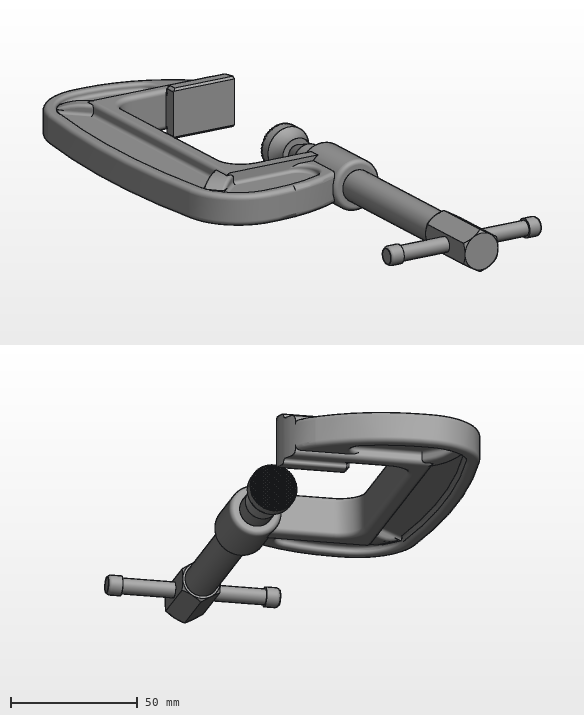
import cadquery as cq
import math


frame_length = 148.3
center_x = frame_length / 2
side_start_y = -42.9
side_end_y = -39.0
corner_radius = 25.0
bottom_rise = 3.7
leg_arc_radius = 67.5
leg_arc_end_y = 0.9
jaw_face_x = 31.8
jaw_tip_y = 12.4
jaw_bottom_y = -16.0
right_leg_top_y = -3.0

throat_left_x = 26.3
throat_right_x = 117.5
throat_bottom_y = -41.8
throat_radius = 10.0

rim_half = 6.4
rail_half = 8.4
jaw_half = 10.5
floor_half = 3.3
outer_round = 2.0

rail_left_x = 19.9
rail_bottom_y = -48.8
rail_right_x = 124.0
rail_round = 2.0

rim_width = 5.3
pocket_floor_round = 1.5
pocket_rim_round = 1.4
left_arch_radius = 5.5
right_arch_radius = 7.7

rib_top = 7.5
rib_end_drop = 3.4
rib_reach = 13.0
rib_root = 4.0
rib_round = 1.35
left_rib_width = 7.0
left_rib_angle = 225
right_rib_start_x = 121.0
right_rib_width = 8.9
right_rib_angle = 312

jaw_side_x = 27.0
jaw_end_chamfer = 1.2
jaw_face_chamfer = 0.9

collar_start_x = 116.0
collar_end_x = 143.4
collar_radius = 10.5
collar_round = 1.8

foot_back_x = 98.5
tip_radius = 4.0
taper_end_x = 106.5
screw_radius = 6.7
hex_length = 29.5
screw_end_x = 236.17
hex_flats = 15.3
hex_start_x = screw_end_x - hex_length

handle_x = screw_end_x - hex_length / 2
handle_length = 70.0
handle_radius = 3.2
cap_length = 5.8
cap_radius = 4.0
cap_round = 1.6

foot_face_x = 86.8
foot_rim_length = 5.2
foot_radius = 9.5
foot_neck_radius = 6.7
knurl_pitch = 1.1
knurl_depth = 0.5


def arc_point(center, radius, degrees):
    angle = math.radians(degrees)
    return (center[0] + radius * math.cos(angle), center[1] + radius * math.sin(angle))


corner_center = (corner_radius, side_start_y)
bottom_center_gap = ((center_x - corner_radius) ** 2 + bottom_rise ** 2) / (2 * bottom_rise)
bottom_half_angle = math.degrees(math.asin((center_x - corner_radius) / bottom_center_gap))
bottom_y = side_start_y - corner_radius - bottom_rise


def leg_point(inset, y):
    """Point at height y on the left leg's outer arc, moved inward by inset."""
    radius = leg_arc_radius - inset
    return (leg_arc_radius - math.sqrt(radius ** 2 - (y - side_end_y) ** 2), y)


def mirrored(point):
    return (frame_length - point[0], point[1])


def outer_path(path, inset, left_y, right_y):
    """Continue a path from the left leg round the bottom to the right leg."""
    radius = corner_radius - inset
    corner_end = arc_point(corner_center, radius, 270 - bottom_half_angle)
    corner_middle = arc_point(corner_center, radius, 225 - bottom_half_angle / 2)
    left_side = (inset, side_end_y)
    corner_start = (inset, side_start_y)
    left_middle = leg_point(inset, (left_y + side_end_y) / 2)
    right_middle = mirrored(leg_point(inset, (right_y + side_end_y) / 2))
    return (
        path.threePointArc(left_middle, left_side)
        .lineTo(*corner_start)
        .threePointArc(corner_middle, corner_end)
        .threePointArc((center_x, bottom_y + inset), mirrored(corner_end))
        .threePointArc(mirrored(corner_middle), mirrored(corner_start))
        .lineTo(*mirrored(left_side))
        .threePointArc(right_middle, mirrored(leg_point(inset, right_y)))
    )


def frame_blank(half_thickness):
    """Full C outline, extruded to both sides of Z = 0."""
    arc_end = leg_point(0, leg_arc_end_y)
    tangent = (leg_arc_end_y - side_end_y, leg_arc_radius - arc_end[0])
    tip = (jaw_face_x, jaw_tip_y)
    normal = (tangent[1] / leg_arc_radius, -tangent[0] / leg_arc_radius)
    chord = (tip[0] - arc_end[0], tip[1] - arc_end[1])
    tip_radius_out = (chord[0] ** 2 + chord[1] ** 2) / (2 * (chord[0] * normal[0] + chord[1] * normal[1]))
    tip_center = (arc_end[0] + tip_radius_out * normal[0], arc_end[1] + tip_radius_out * normal[1])
    middle = (arc_end[0] + chord[0] / 2 - tip_center[0], arc_end[1] + chord[1] / 2 - tip_center[1])
    stretch = tip_radius_out / math.hypot(*middle)
    tip_middle = (tip_center[0] + stretch * middle[0], tip_center[1] + stretch * middle[1])

    path = cq.Workplane("XY", origin=(0, 0, -half_thickness)).moveTo(*tip)
    path = outer_path(path.threePointArc(tip_middle, arc_end), 0, leg_arc_end_y, right_leg_top_y)
    diagonal = throat_radius * (1 - math.sqrt(0.5))
    return (
        path.lineTo(throat_right_x, right_leg_top_y)
        .lineTo(throat_right_x, throat_bottom_y + throat_radius)
        .threePointArc(
            (throat_right_x - diagonal, throat_bottom_y + diagonal),
            (throat_right_x - throat_radius, throat_bottom_y),
        )
        .lineTo(throat_left_x + throat_radius, throat_bottom_y)
        .threePointArc(
            (throat_left_x + diagonal, throat_bottom_y + diagonal),
            (throat_left_x, throat_bottom_y + throat_radius),
        )
        .lineTo(throat_left_x, jaw_bottom_y)
        .lineTo(jaw_face_x, jaw_bottom_y)
        .close()
        .extrude(2 * half_thickness)
    )


def pocket_arch(rail_x, radius):
    """Arch at the top of a left leg pocket: where it leaves the rim, its top, and where it meets the rail.

    The arch is tangent to the rail and to the rim.
    """
    rim_radius = leg_arc_radius - rim_width
    arch_x = rail_x - radius
    arch_y = side_end_y + math.sqrt((rim_radius - radius) ** 2 - (leg_arc_radius - arch_x) ** 2)
    stretch = rim_radius / (rim_radius - radius)
    rim_end = (
        leg_arc_radius + stretch * (arch_x - leg_arc_radius),
        side_end_y + stretch * (arch_y - side_end_y),
    )
    return rim_end, (arch_x, arch_y + radius), (rail_x, arch_y)


def pocket_tool():
    """Upper pocket volume, from the floor up."""
    left_rim, left_top, left_rail = pocket_arch(rail_left_x, left_arch_radius)
    right_arch = pocket_arch(frame_length - rail_right_x, right_arch_radius)
    right_rim, right_top, right_rail = [mirrored(point) for point in right_arch]
    path = cq.Workplane("XY", origin=(0, 0, floor_half)).moveTo(*left_rim)
    return (
        outer_path(path, rim_width, left_rim[1], right_rim[1])
        .threePointArc(right_top, right_rail)
        .lineTo(rail_right_x, rail_bottom_y)
        .lineTo(rail_left_x, rail_bottom_y)
        .lineTo(*left_rail)
        .threePointArc(left_top, left_rim)
        .close()
        .extrude(jaw_half)
        .faces("<Z")
        .edges()
        .fillet(pocket_floor_round)
    )


def rim_plate():
    plate = frame_blank(rim_half).faces("|Z").edges("<Y").fillet(outer_round)
    tool = pocket_tool()
    plate = plate.cut(tool).cut(tool.mirror("XY"))
    for side in (">Z", "<Z"):
        mouth = plate.faces(side).val().innerWires()[0]
        plate = plate.newObject(mouth.Edges()).fillet(pocket_rim_round)
    return plate


def rail():
    """Thick band around the throat."""
    blank = frame_blank(rail_half)
    blank = blank.edges(
        cq.selectors.BoxSelector(
            (throat_left_x - 1, throat_bottom_y - 1, -jaw_half),
            (throat_right_x + 1, right_leg_top_y - 1, jaw_half),
        )
    ).edges("#Z").fillet(outer_round)
    band = cq.Workplane("XY").box(
        rail_right_x - rail_left_x, jaw_tip_y - rail_bottom_y, 2 * rail_half, centered=(False, False, True)
    ).translate((rail_left_x, rail_bottom_y, 0))
    band = band.edges("(<X or <Y) and #Z").fillet(rail_round)
    return blank.intersect(band)


def jaw():
    """Pad block at the fixed jaw, flaring out of the rail on both sides."""
    height = jaw_tip_y - jaw_bottom_y
    pad = (
        cq.Workplane("XY")
        .box(jaw_face_x - jaw_side_x, height, jaw_half, centered=False)
        .translate((jaw_side_x, jaw_bottom_y, 0))
    )
    pad = pad.faces(">Z").edges("<Y").chamfer(jaw_end_chamfer)
    pad = pad.faces(">Z").edges(">X").chamfer(jaw_face_chamfer)
    flare_radius = (jaw_half - rail_half) / 2
    flare_x = jaw_side_x - 2 * flare_radius
    flare = (
        cq.Workplane("XZ", origin=(0, jaw_tip_y, 0))
        .moveTo(flare_x, 0)
        .lineTo(flare_x, rail_half)
        .radiusArc((jaw_side_x - flare_radius, rail_half + flare_radius), -flare_radius)
        .radiusArc((jaw_side_x, jaw_half), flare_radius)
        .lineTo(jaw_side_x, 0)
        .close()
        .extrude(height - jaw_end_chamfer)
    )
    half = pad.union(flare)
    return half.union(half.mirror("XY")).intersect(frame_blank(jaw_half))


def corner_rib(start_x, width, angle):
    """Upper rib from a rail corner across the pocket, its top curving down to the rim."""
    top_radius = (rib_reach ** 2 + rib_end_drop ** 2) / (2 * rib_end_drop)
    ridge = (
        cq.Workplane("XZ")
        .moveTo(-rib_root, 0)
        .lineTo(-rib_root, rib_top)
        .lineTo(0, rib_top)
        .radiusArc((rib_reach, rib_top - rib_end_drop), top_radius)
        .lineTo(rib_reach, 0)
        .close()
        .extrude(width / 2, both=True)
        .faces(">Z")
        .edges("|X")
        .fillet(rib_round)
    )
    half_foot = width / 2 + rib_round
    foot_top = floor_half + rib_round
    foot = (
        cq.Workplane("YZ", origin=(-rib_root, 0, 0))
        .moveTo(-half_foot, 0)
        .lineTo(-half_foot, floor_half)
        .radiusArc((-width / 2, foot_top), -rib_round)
        .lineTo(width / 2, foot_top)
        .radiusArc((half_foot, floor_half), -rib_round)
        .lineTo(half_foot, 0)
        .close()
        .extrude(rib_root + rib_reach)
    )
    rib = ridge.union(foot)
    return rib.rotate((0, 0, 0), (0, 0, 1), angle).translate((start_x, rail_bottom_y, 0))


def build_frame():
    collar = (
        cq.Workplane("YZ", origin=(collar_start_x, 0, 0))
        .circle(collar_radius)
        .extrude(collar_end_x - collar_start_x)
        .edges()
        .fillet(collar_round)
    )
    bore = (
        cq.Workplane("YZ", origin=(collar_start_x, 0, 0))
        .circle(screw_radius)
        .extrude(collar_end_x - collar_start_x)
    )
    body = rim_plate().union(rail()).union(jaw())
    for rib in (
        corner_rib(rail_left_x, left_rib_width, left_rib_angle),
        corner_rib(right_rib_start_x, right_rib_width, right_rib_angle),
    ):
        body = body.union(rib).union(rib.mirror("XY"))
    return body.union(collar).cut(bore)


def build_screw():
    shank = (
        cq.Workplane("XZ")
        .moveTo(foot_back_x, 0)
        .lineTo(foot_back_x, tip_radius)
        .lineTo(taper_end_x, screw_radius)
        .lineTo(hex_start_x, screw_radius)
        .lineTo(hex_start_x, 0)
        .close()
        .revolve(360, (0, 0, 0), (1, 0, 0))
    )
    across_corners = hex_flats / math.cos(math.pi / 6)
    head = (
        cq.Workplane("YZ", origin=(hex_start_x, 0, 0))
        .transformed(rotate=(0, 0, 90))
        .polygon(6, across_corners)
        .extrude(hex_length)
    )
    head_chamfer = (across_corners - hex_flats) / 2
    envelope = (
        cq.Workplane("YZ", origin=(hex_start_x, 0, 0))
        .circle(across_corners / 2)
        .extrude(hex_length)
        .edges()
        .chamfer(head_chamfer)
    )
    handle = cq.Workplane("XZ", origin=(handle_x, handle_length / 2, 0)).circle(handle_radius).extrude(handle_length)
    screw = shank.union(head.intersect(envelope)).union(handle)
    for side in (1, -1):
        cap = (
            cq.Workplane("XZ", origin=(handle_x, side * handle_length / 2, 0))
            .circle(cap_radius)
            .extrude(side * cap_length)
            .faces(">Y" if side > 0 else "<Y")
            .edges()
            .fillet(cap_round)
        )
        screw = screw.union(cap)
    return screw


def build_foot():
    rim_end_x = foot_face_x + foot_rim_length
    run = foot_back_x - rim_end_x
    drop = foot_radius - foot_neck_radius
    neck_arc_radius = (run ** 2 + drop ** 2) / (2 * drop)
    foot = (
        cq.Workplane("XY")
        .moveTo(foot_face_x, 0)
        .lineTo(foot_face_x, foot_radius)
        .lineTo(rim_end_x, foot_radius)
        .radiusArc((foot_back_x, foot_neck_radius), -neck_arc_radius)
        .lineTo(foot_back_x, 0)
        .close()
        .revolve(360, (0, 0, 0), (1, 0, 0))
    )
    groove = (
        cq.Workplane("XZ")
        .moveTo(foot_face_x, -knurl_depth)
        .lineTo(foot_face_x + knurl_depth, 0)
        .lineTo(foot_face_x, knurl_depth)
        .close()
        .extrude(foot_radius, both=True)
    )
    count = int(foot_radius / knurl_pitch)
    for angle in (45, -45):
        for index in range(-count, count + 1):
            cutter = groove.translate((0, 0, index * knurl_pitch))
            foot = foot.cut(cutter.rotate((0, 0, 0), (1, 0, 0), angle))
    return foot


frame = build_frame()
screw = build_screw()
foot = build_foot()

result = cq.Compound.makeCompound([frame.val(), screw.val(), foot.val()])